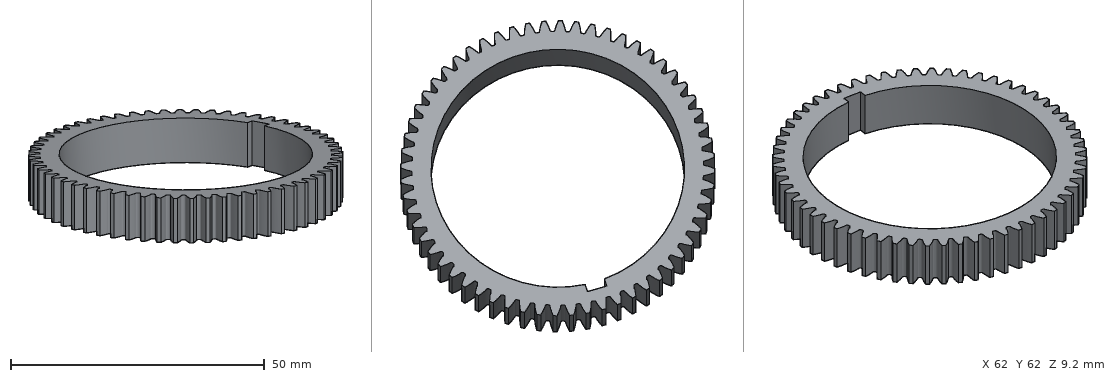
import cadquery as cq
import math

TOOTH_COUNT = 60
TIP_DIAMETER = 62.0
FACE_WIDTH = 9.2
BORE_RADIUS = 25.0
KEYWAY_WIDTH = 3.95
KEYWAY_TOP = 26.5

PRESSURE_ANGLE = math.radians(20)
ADDENDUM = 1.0
CLEARANCE = 0.25
FILLET_PER_CLEARANCE = 1.5
LOWER_FLANK_SHARE = 0.25
CURVE_STEPS = 3

MODULE = TIP_DIAMETER / (TOOTH_COUNT + 2 * ADDENDUM)
TIP_RADIUS = TIP_DIAMETER / 2
PITCH_RADIUS = MODULE * TOOTH_COUNT / 2
ROOT_RADIUS = PITCH_RADIUS - (ADDENDUM + CLEARANCE) * MODULE
BASE_RADIUS = PITCH_RADIUS * math.cos(PRESSURE_ANGLE)
TOOTH_PITCH = 2 * math.pi / TOOTH_COUNT

FILLET_RADIUS = FILLET_PER_CLEARANCE * CLEARANCE * MODULE
FILLET_CENTRE_RADIUS = ROOT_RADIUS + FILLET_RADIUS
FILLET_ANGLE = math.asin(FILLET_RADIUS / FILLET_CENTRE_RADIUS)
FOOT_RADIUS = FILLET_CENTRE_RADIUS * math.cos(FILLET_ANGLE)
SEAM_RADIUS = math.sqrt(FOOT_RADIUS**2 + LOWER_FLANK_SHARE * (TIP_RADIUS**2 - FOOT_RADIUS**2))


def polar(radius, angle):
    """Point at the given radius and angle in radians."""
    return (radius * math.cos(angle), radius * math.sin(angle))


def involute(angle):
    """Involute function of a pressure angle."""
    return math.tan(angle) - angle


def half_tooth_angle(radius):
    """Half the angle a tooth covers at the given radius."""
    local_pressure_angle = math.acos(BASE_RADIUS / radius)
    return TOOTH_PITCH / 4 + involute(PRESSURE_ANGLE) - involute(local_pressure_angle)


def flank_curve(middle, side, start_radius, end_radius):
    """Involute points after the start radius; side is -1 or +1 from the tooth's middle angle."""
    step = (end_radius - start_radius) / CURVE_STEPS
    radii = [start_radius + i * step for i in range(1, CURVE_STEPS + 1)]
    return [polar(r, middle + side * half_tooth_angle(r)) for r in radii]


def fillet_middle(middle, side):
    """Point halfway along the root fillet on one side of a tooth."""
    centre_angle = middle + side * (half_tooth_angle(FOOT_RADIUS) + FILLET_ANGLE)
    centre_x, centre_y = polar(FILLET_CENTRE_RADIUS, centre_angle)
    facing_tooth = centre_angle - side * (FILLET_ANGLE + math.pi / 2)
    facing_axis = centre_angle - side * math.pi
    offset_x, offset_y = polar(FILLET_RADIUS, (facing_tooth + facing_axis) / 2)
    return (centre_x + offset_x, centre_y + offset_y)


def gear_outline():
    """Closed outline of involute teeth, with the first tooth centred on +X."""
    foot_angle = half_tooth_angle(FOOT_RADIUS)
    root_angle = foot_angle + FILLET_ANGLE

    outline = cq.Workplane("XY").moveTo(*polar(ROOT_RADIUS, -root_angle))
    for tooth in range(TOOTH_COUNT):
        middle = tooth * TOOTH_PITCH
        next_middle = middle + TOOTH_PITCH
        tip_end = polar(TIP_RADIUS, middle + half_tooth_angle(TIP_RADIUS))
        outline = (
            outline
            .threePointArc(fillet_middle(middle, -1), polar(FOOT_RADIUS, middle - foot_angle))
            .spline(flank_curve(middle, -1, FOOT_RADIUS, SEAM_RADIUS), includeCurrent=True)
            .spline(flank_curve(middle, -1, SEAM_RADIUS, TIP_RADIUS), includeCurrent=True)
            .threePointArc(polar(TIP_RADIUS, middle), tip_end)
            .spline(flank_curve(middle, 1, TIP_RADIUS, SEAM_RADIUS), includeCurrent=True)
            .spline(flank_curve(middle, 1, SEAM_RADIUS, FOOT_RADIUS), includeCurrent=True)
            .threePointArc(fillet_middle(middle, 1), polar(ROOT_RADIUS, middle + root_angle))
            .threePointArc(
                polar(ROOT_RADIUS, middle + TOOTH_PITCH / 2),
                polar(ROOT_RADIUS, next_middle - root_angle),
            )
        )
    return outline.close()


def bore_with_keyway():
    """Cutter for the round bore and the keyway on its +Y side."""
    bore = cq.Workplane("XY").circle(BORE_RADIUS).extrude(FACE_WIDTH)
    keyway = (
        cq.Workplane("XY")
        .center(0, KEYWAY_TOP / 2)
        .rect(KEYWAY_WIDTH, KEYWAY_TOP)
        .extrude(FACE_WIDTH)
    )
    return bore.union(keyway)


toothed_disc = gear_outline().extrude(FACE_WIDTH)
result = toothed_disc.cut(bore_with_keyway())